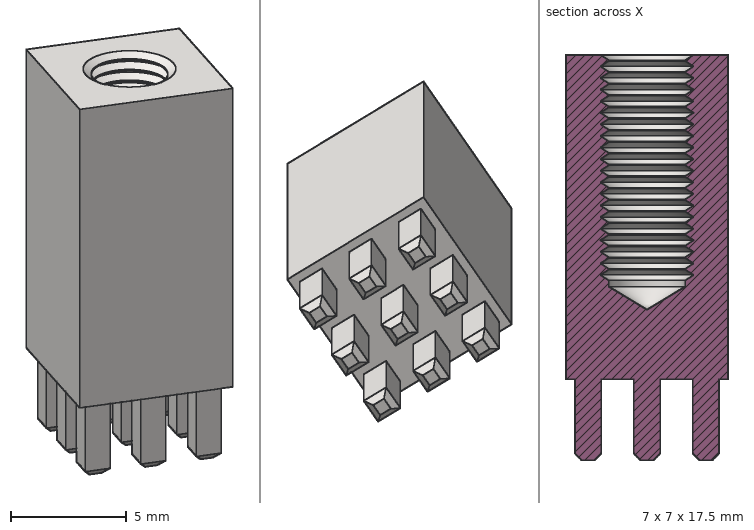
import cadquery as cq
import math

body_width = 7.0
total_height = 17.5
pin_length = 3.5
body_height = total_height - pin_length

pin_width = 1.15
pin_pitch = 2.54
pins_per_side = 3
pin_tip_chamfer = 0.3

thread_major_diameter = 4.0
thread_minor_diameter = 3.3
thread_pitch = 0.5
thread_turns = 20
thread_crest_width = 0.05
drill_point_angle = 118.0


def make_body():
    """Square block standing on the pin plane, Z = 0."""
    return cq.Workplane("XY").box(body_width, body_width, body_height, centered=(True, True, False))


def make_pins():
    """Grid of square pins with chamfered tips."""
    return (
        cq.Workplane("XY")
        .rarray(pin_pitch, pin_pitch, pins_per_side, pins_per_side)
        .rect(pin_width, pin_width)
        .extrude(-pin_length)
        .faces("<Z")
        .chamfer(pin_tip_chamfer)
    )


def make_threaded_hole():
    """Hole volume: V-shaped rings from the top face down, ending in a drill point."""
    major_radius = thread_major_diameter / 2
    minor_radius = thread_minor_diameter / 2
    flank_height = (thread_pitch - thread_crest_width) / 2
    point_depth = minor_radius / math.tan(math.radians(drill_point_angle / 2))

    profile = cq.Workplane("XZ").moveTo(0, body_height).lineTo(major_radius, body_height)
    profile = profile.lineTo(minor_radius, body_height - flank_height)
    for turn in range(1, thread_turns):
        root_z = body_height - turn * thread_pitch
        profile = profile.lineTo(minor_radius, root_z + flank_height)
        profile = profile.lineTo(major_radius, root_z)
        profile = profile.lineTo(minor_radius, root_z - flank_height)
    thread_end_z = body_height - thread_turns * thread_pitch
    profile = profile.lineTo(minor_radius, thread_end_z)
    profile = profile.lineTo(0, thread_end_z - point_depth).close()
    return profile.revolve(360, (0, 0, 0), (0, 1, 0))


result = make_body().union(make_pins()).cut(make_threaded_hole())